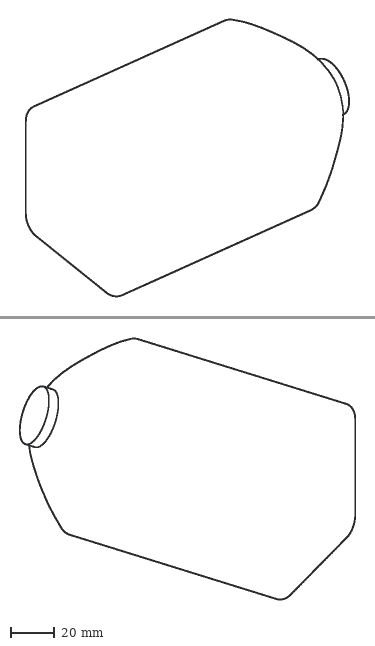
import cadquery as cq
import math

body_width = 74.0
body_length = 116.0
corner_radius = 10.0
base_fillet = 5.0
shoulder_length = 30.0
shoulder_fillet = 5.0
neck_radius = 14.0
neck_length = 5.0
domed_bulge = 5.2
flat_bulge = 1.8
section_count = 7

half_width = body_width / 2
half_flat = half_width - corner_radius
neck_start = body_length + shoulder_length


def shoulder_reach(fraction, bulge):
    """Distance from the axis to a shoulder arc, at a fraction of the shoulder length."""
    narrowing = half_width - neck_radius
    chord = math.hypot(narrowing, shoulder_length)
    arc_radius = chord ** 2 / (8 * bulge) + bulge / 2
    chord_to_center = arc_radius - bulge
    center_reach = (half_width + neck_radius) / 2 - chord_to_center * shoulder_length / chord
    center_along = shoulder_length / 2 - chord_to_center * narrowing / chord
    along = fraction * shoulder_length - center_along
    return center_reach + math.sqrt(arc_radius ** 2 - along ** 2)


def unit_quarter(fraction):
    """Quarter of a section of half width 1: side middle, corner start, corner middle, corner end."""
    diagonal = half_flat + corner_radius * math.sqrt(0.5)
    corner_start = math.atan2(half_flat, half_width)
    square_points = [
        (half_width, 0),
        (half_width, half_flat),
        (diagonal, diagonal),
        (half_flat, half_width),
    ]
    circle_angles = [0, corner_start, math.pi / 4, math.pi / 2 - corner_start]
    points = []
    for (u, v), angle in zip(square_points, circle_angles):
        blended_u = (1 - fraction) * u / half_width + fraction * math.cos(angle)
        blended_v = (1 - fraction) * v / half_width + fraction * math.sin(angle)
        points.append((blended_u, blended_v))
    return points


def section_points(fraction):
    """Points around a whole section, counted from the middle of the +X side."""
    domed_reach = shoulder_reach(fraction, domed_bulge)
    flat_reach = shoulder_reach(fraction, flat_bulge)
    along = body_length + fraction * shoulder_length
    quarter = unit_quarter(fraction)
    turns = [(1, 0), (0, 1), (-1, 0), (0, -1)]
    points = []
    for cos_turn, sin_turn in turns:
        for u, v in quarter:
            x = u * cos_turn - v * sin_turn
            z = u * sin_turn + v * cos_turn
            reach_z = domed_reach if z >= 0 else flat_reach
            points.append(cq.Vector(x * domed_reach, along, z * reach_z))
    return points


def shoulder_section(fraction):
    """Closed section from the rounded square (fraction 0) to the neck circle (fraction 1)."""
    points = section_points(fraction)
    edges = []
    for start in range(1, len(points), 4):
        corner_start, corner_middle, corner_end, side_middle, next_corner = (
            points[(start + step) % len(points)] for step in range(5)
        )
        edges.append(cq.Edge.makeThreePointArc(corner_start, corner_middle, corner_end))
        if fraction == 0:
            edges.append(cq.Edge.makeLine(corner_end, next_corner))
        else:
            edges.append(cq.Edge.makeThreePointArc(corner_end, side_middle, next_corner))
    return cq.Wire.assembleEdges(edges)


def make_body():
    block = cq.Workplane("XY").box(body_width, body_length, body_width)
    block = block.translate((0, body_length / 2, 0))
    block = block.edges("|Y").fillet(corner_radius)
    return block.faces("<Y").edges().fillet(base_fillet)


def make_shoulder():
    sections = [shoulder_section(i / (section_count - 1)) for i in range(section_count)]
    return cq.Workplane(obj=cq.Solid.makeLoft(sections))


def make_neck():
    outline = cq.Workplane("XZ", origin=(0, neck_start, 0)).circle(neck_radius)
    return outline.extrude(-neck_length)


def round_body_rim(bottle):
    """Round the edge where the shoulder meets the body."""
    margin = shoulder_fillet / 10
    rim = cq.selectors.BoxSelector(
        (-body_width, body_length - margin, -body_width),
        (body_width, body_length + margin, body_width),
    )
    return bottle.edges(rim).fillet(shoulder_fillet)


body_and_shoulder = make_body().union(make_shoulder())
result = round_body_rim(body_and_shoulder).union(make_neck())